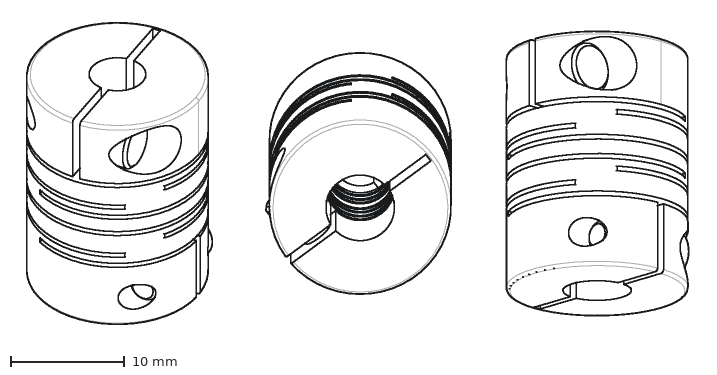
import cadquery as cq

LENGTH = 21.5
OUTER_RADIUS = 8.0
RIM_FILLET = 0.3
UPPER_BORE_RADIUS = 2.5
LOWER_BORE_RADIUS = 3.0

CUT_HEIGHT = 0.43
WEB_OFFSET = 4.2
TOP_CUT_CEILING = 15.4
PAIR_STEP = 1.1
PAIR_PITCH = 2.35
GROUP_PITCH = 5.2

SLOT_WIDTH = 0.73
SLOT_END = 7.55
SCREW_OFFSET = 4.99
SCREW_INSET = 3.0
SHANK_RADIUS = 1.31
HEAD_RADIUS = 2.25
COUNTERBORE_RADIUS = 2.45
HEAD_SEAT = 1.9
HEAD_END = 4.5
TIP_POSITION = -4.88
SCREW_CHAMFER = 0.3

LOWER_HUB_TOP = TOP_CUT_CEILING - GROUP_PITCH - PAIR_PITCH - PAIR_STEP - CUT_HEIGHT
OVERSIZE = 2 * OUTER_RADIUS


def turn(shape, angle):
    """Rotate a shape about the coupling axis."""
    return shape.rotate((0, 0, 0), (0, 0, 1), angle)


def cylinder_along_x(radius, start, end, height):
    """Cylinder on the screw axis of a clamp whose slot opens towards -Y."""
    return (
        cq.Workplane("YZ", origin=(start, -SCREW_OFFSET, height))
        .circle(radius)
        .extrude(end - start)
    )


def stepped_sleeve():
    """Outer cylinder with rounded rims and a bore that narrows in the upper hub."""
    sleeve = cq.Workplane("XY").circle(OUTER_RADIUS).extrude(LENGTH)
    sleeve = sleeve.faces("<Z or >Z").edges().fillet(RIM_FILLET)
    lower_bore = cq.Workplane("XY").circle(LOWER_BORE_RADIUS).extrude(TOP_CUT_CEILING)
    upper_bore = cq.Workplane("XY").circle(UPPER_BORE_RADIUS).extrude(LENGTH)
    return sleeve.cut(lower_bore).cut(upper_bore)


def flexure_cut(ceiling, angle):
    """Flat cut open towards -Y, leaving a web on the +Y side, then turned by angle."""
    cut = cq.Workplane("XY").box(OVERSIZE, OVERSIZE, CUT_HEIGHT, centered=(True, False, False))
    return turn(cut.translate((0, WEB_OFFSET - OVERSIZE, ceiling - CUT_HEIGHT)), angle)


def clamp_slot(bottom, top, angle):
    """Slot through a hub, open towards -Y and closed near +Y, then turned by angle."""
    slot = cq.Workplane("XY").box(SLOT_WIDTH, OVERSIZE, top - bottom, centered=(True, False, False))
    return turn(slot.translate((0, SLOT_END - OVERSIZE, bottom)), angle)


def screw_clearance(height, angle):
    """Shank hole through the hub with a counterbore on the head side."""
    hole = cylinder_along_x(SHANK_RADIUS, -OUTER_RADIUS, HEAD_SEAT, height)
    counterbore = cylinder_along_x(COUNTERBORE_RADIUS, HEAD_SEAT, OUTER_RADIUS, height)
    return turn(hole.union(counterbore), angle)


def clamp_screw(height, angle):
    """Screw with a chamfered tip and a chamfered cylindrical head."""
    shank = cylinder_along_x(SHANK_RADIUS, TIP_POSITION, HEAD_SEAT, height)
    shank = shank.faces("<X").chamfer(SCREW_CHAMFER)
    head = cylinder_along_x(HEAD_RADIUS, HEAD_SEAT, HEAD_END, height)
    head = head.faces(">X").chamfer(SCREW_CHAMFER)
    return turn(shank.union(head), angle)


coupling = stepped_sleeve()

for group in range(2):
    group_ceiling = TOP_CUT_CEILING - group * GROUP_PITCH
    for depth, angle in (
        (0, 0),
        (PAIR_STEP, 180),
        (PAIR_PITCH, -90),
        (PAIR_PITCH + PAIR_STEP, 90),
    ):
        coupling = coupling.cut(flexure_cut(group_ceiling - depth, angle))

for bottom, top, screw_height, angle in (
    (TOP_CUT_CEILING, LENGTH, LENGTH - SCREW_INSET, 0),
    (0, LOWER_HUB_TOP, SCREW_INSET, 90),
):
    coupling = coupling.cut(clamp_slot(bottom, top, angle))
    coupling = coupling.cut(screw_clearance(screw_height, angle))
    coupling = coupling.union(clamp_screw(screw_height, angle))

result = coupling